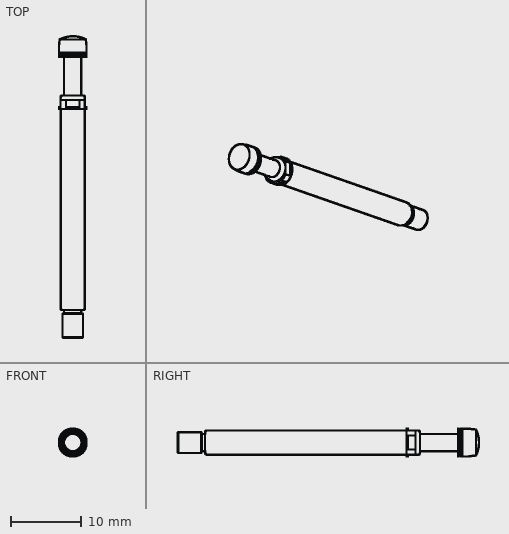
import cadquery as cq


total_length = 43.1
head_tip_y = 10.4
dome_height = 0.48
head_taper_length = 1.0
head_band_length = 0.9
head_groove_pitch = 0.32
head_groove_count = 2
collar_top_y = 1.95
flange_thickness = 0.25
flats_length = 1.05
tail_length = 3.97
tail_groove_width = 0.42
tail_chamfer_length = 0.15

head_radius = 2.0
head_rim_radius = 1.875
head_groove_depth = 0.2
plunger_radius = 1.25
barrel_radius = 1.75
barrel_edge_radius = 0.28
flange_radius = 2.0
flats_across = 2 * barrel_radius
tail_radius = 1.5
tail_neck_radius = 1.25

tail_end_y = head_tip_y - total_length
barrel_end_y = tail_end_y + tail_length
flange_top_y = flange_thickness + flats_length
rim_y = head_tip_y - dome_height
band_top_y = rim_y - head_taper_length
band_bottom_y = band_top_y - head_band_length
head_back_y = band_bottom_y - head_groove_count * head_groove_pitch


def cylinder(radius, start_y, end_y):
    """Solid cylinder on the Y axis between two stations."""
    return cq.Workplane("XZ", origin=(0, end_y, 0)).circle(radius).extrude(end_y - start_y)


def make_head():
    """Domed, slightly tapered head with V grooves along its back edge."""
    dome_sphere_radius = (head_rim_radius**2 + dome_height**2) / (2 * dome_height)
    half_rim = head_rim_radius / 2
    dome_centre_y = head_tip_y - dome_sphere_radius
    dome_mid_y = dome_centre_y + (dome_sphere_radius**2 - half_rim**2) ** 0.5

    profile = (
        cq.Workplane("XY")
        .moveTo(0, head_tip_y)
        .threePointArc((half_rim, dome_mid_y), (head_rim_radius, rim_y))
        .lineTo(head_radius, band_top_y)
        .lineTo(head_radius, band_bottom_y)
    )
    for i in range(head_groove_count):
        groove_top_y = band_bottom_y - i * head_groove_pitch
        profile = profile.lineTo(head_radius - head_groove_depth, groove_top_y - head_groove_pitch / 2)
        profile = profile.lineTo(head_radius, groove_top_y - head_groove_pitch)
    profile = profile.lineTo(0, head_back_y).close()
    return profile.revolve(360, (0, 0, 0), (0, 1, 0))


def make_barrel():
    """Barrel with both end edges rounded."""
    return cylinder(barrel_radius, barrel_end_y, collar_top_y).edges("%CIRCLE").fillet(barrel_edge_radius)


def make_flange():
    """Round flange carrying four wrench flats above its full-round rim."""
    rim = cylinder(flange_radius, 0, flange_thickness)
    square = cq.Workplane("XZ", origin=(0, flange_top_y, 0)).rect(flats_across, flats_across).extrude(flats_length)
    flats = cylinder(flange_radius, flange_thickness, flange_top_y).intersect(square)
    return rim.union(flats)


def make_tail():
    """Tail cylinder with bevelled ends, joined to the barrel by a narrow neck."""
    neck = cylinder(tail_neck_radius, tail_end_y, barrel_end_y)
    cylinder_top_y = barrel_end_y - tail_groove_width
    body = cylinder(tail_radius, tail_end_y, cylinder_top_y)
    body = body.faces("<Y").chamfer(tail_chamfer_length, tail_radius - tail_neck_radius)
    body = body.faces(">Y").chamfer(tail_chamfer_length, tail_radius - tail_neck_radius)
    return neck.union(body)


plunger = cylinder(plunger_radius, barrel_end_y, head_back_y)
result = plunger.union(make_barrel()).union(make_flange()).union(make_tail()).union(make_head())